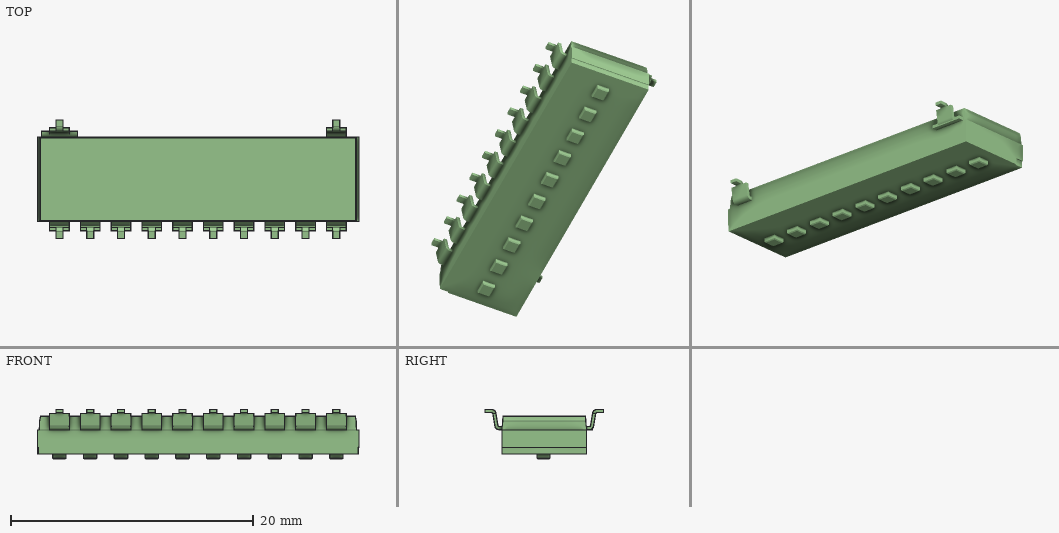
import cadquery as cq
import math

POSITIONS = 10
PITCH = 2.54
TOTAL_HEIGHT = 4.1

BODY_LENGTH = 26.5
BODY_WIDTH = 6.98
ACTUATOR_HEIGHT = 0.4
COVER_HEIGHT = 0.57
FRAME_TOP_DEPTH = 1.68
COVER_Z = ACTUATOR_HEIGHT
FRAME_Z = COVER_Z + COVER_HEIGHT
BASE_Z = TOTAL_HEIGHT - FRAME_TOP_DEPTH
STANDOFF = 0.56
BASE_TOP_Z = TOTAL_HEIGHT - STANDOFF
BASE_BEVEL_HEIGHT = 0.41
BASE_BREAK_Z = BASE_TOP_Z - BASE_BEVEL_HEIGHT

RIDGE_DEPTH = 0.06
NOTCH_DEPTH = 0.1
NOTCH_WIDTH = 0.81

BASE_FOOT_INSET_X = 0.15
BASE_BREAK_INSET_X = 0.17
BASE_TOP_INSET_X = 0.25
BASE_TOP_INSET_Y = 0.08

BASE_FOOT_HALF_LENGTH = BODY_LENGTH / 2 - BASE_FOOT_INSET_X
BASE_BREAK_HALF_LENGTH = BODY_LENGTH / 2 - BASE_BREAK_INSET_X
BASE_TOP_HALF_LENGTH = BODY_LENGTH / 2 - BASE_TOP_INSET_X
BASE_TOP_HALF_WIDTH = BODY_WIDTH / 2 - BASE_TOP_INSET_Y

ACTUATOR_LENGTH = 1.12
ACTUATOR_WIDTH = 1.08
ACTUATOR_Y = -0.06
ACTUATOR_CHAMFER = 0.08

LEAD_SPAN = 9.8
LEAD_THICKNESS = 0.27
LEAD_WIDTH = 1.64
LEAD_TIP_WIDTH = 0.6
LEAD_LEAN = 9.5
LEAD_KNEE_Y = 4.03
LEAD_EMBED = 0.6
LEAD_ROOT_Y = BODY_WIDTH / 2 - LEAD_EMBED
BEND_INNER_RADIUS = 0.08
BEND_OUTER_RADIUS = BEND_INNER_RADIUS + LEAD_THICKNESS
SHOULDER_DEPTH = 0.32
SHOULDER_Z = TOTAL_HEIGHT - SHOULDER_DEPTH

TAB_LENGTH = 3.0
TAB_END_Y = 3.98


def position_x(index):
    """X of a switch position, counted from the -X end."""
    return (index - (POSITIONS - 1) / 2) * PITCH


def box(x_min, x_max, y_min, y_max, z_min, z_max):
    """Axis-aligned block given by its limits."""
    return (
        cq.Workplane("XY")
        .box(x_max - x_min, y_max - y_min, z_max - z_min, centered=False)
        .translate((x_min, y_min, z_min))
    )


def make_case():
    """Cover and frame, with the end ridge and the corner notch."""
    half_length = BODY_LENGTH / 2
    half_width = BODY_WIDTH / 2
    case = box(-half_length, half_length, -half_width, half_width, COVER_Z, BASE_Z)
    ridge = box(half_length, half_length + RIDGE_DEPTH, -half_width, half_width, FRAME_Z, BASE_Z)
    notch = box(
        -half_length, -half_length + NOTCH_DEPTH,
        -half_width, -half_width + NOTCH_WIDTH,
        COVER_Z, FRAME_Z,
    )
    return case.union(ridge).cut(notch)


def make_base():
    """Base with drafted long sides and end faces that break to a larger draft angle."""
    lengthwise_prism = (
        cq.Workplane("XZ", origin=(0, BODY_WIDTH / 2, 0))
        .polyline([
            (-BASE_FOOT_HALF_LENGTH, BASE_Z),
            (-BASE_BREAK_HALF_LENGTH, BASE_BREAK_Z),
            (-BASE_TOP_HALF_LENGTH, BASE_TOP_Z),
            (BASE_TOP_HALF_LENGTH, BASE_TOP_Z),
            (BASE_BREAK_HALF_LENGTH, BASE_BREAK_Z),
            (BASE_FOOT_HALF_LENGTH, BASE_Z),
        ])
        .close()
        .extrude(BODY_WIDTH)
    )
    crosswise_prism = (
        cq.Workplane("YZ", origin=(-BODY_LENGTH / 2, 0, 0))
        .polyline([
            (-BODY_WIDTH / 2, BASE_Z),
            (-BASE_TOP_HALF_WIDTH, BASE_TOP_Z),
            (BASE_TOP_HALF_WIDTH, BASE_TOP_Z),
            (BODY_WIDTH / 2, BASE_Z),
        ])
        .close()
        .extrude(BODY_LENGTH)
    )
    return lengthwise_prism.intersect(crosswise_prism)


def make_actuator():
    """Slide actuator under the cover, centred on X = 0, chamfered round its tip."""
    return (
        cq.Workplane("XY", origin=(0, ACTUATOR_Y, 0))
        .rect(ACTUATOR_LENGTH, ACTUATOR_WIDTH)
        .extrude(COVER_Z)
        .faces("<Z")
        .chamfer(ACTUATOR_CHAMFER)
    )


def make_lead():
    """Gull-wing lead on the +Y side at X = 0, narrowed above its shoulder."""
    lean = math.radians(LEAD_LEAN)
    leg_offset = LEAD_THICKNESS / math.cos(lean)
    root_top_z = BASE_Z + LEAD_THICKNESS
    foot_bottom_z = TOTAL_HEIGHT - LEAD_THICKNESS
    tip_y = LEAD_SPAN / 2

    def outer_y(z):
        return LEAD_KNEE_Y + (z - BASE_Z) * math.tan(lean)

    def inner_y(z):
        return outer_y(z) - leg_offset

    strip = (
        cq.Workplane("YZ", origin=(-LEAD_WIDTH / 2, 0, 0))
        .polyline([
            (LEAD_ROOT_Y, BASE_Z),
            (LEAD_KNEE_Y, BASE_Z),
            (outer_y(foot_bottom_z), foot_bottom_z),
            (tip_y, foot_bottom_z),
            (tip_y, TOTAL_HEIGHT),
            (inner_y(TOTAL_HEIGHT), TOTAL_HEIGHT),
            (inner_y(root_top_z), root_top_z),
            (LEAD_ROOT_Y, root_top_z),
        ])
        .close()
        .extrude(LEAD_WIDTH)
    )

    bends = [
        (LEAD_KNEE_Y, BASE_Z, BEND_OUTER_RADIUS),
        (outer_y(foot_bottom_z), foot_bottom_z, BEND_INNER_RADIUS),
        (inner_y(TOTAL_HEIGHT), TOTAL_HEIGHT, BEND_OUTER_RADIUS),
        (inner_y(root_top_z), root_top_z, BEND_INNER_RADIUS),
    ]
    for y, z, radius in bends:
        corner = cq.selectors.NearestToPointSelector((0, y, z))
        strip = strip.edges("|X").edges(corner).fillet(radius)

    half_tip = LEAD_TIP_WIDTH / 2
    half_lead = LEAD_WIDTH / 2
    for x_min, x_max in ((-half_lead, -half_tip), (half_tip, half_lead)):
        strip = strip.cut(box(x_min, x_max, 0, tip_y, SHOULDER_Z, TOTAL_HEIGHT))
    return strip


def make_tab():
    """Wide flat root plate under the first rear lead."""
    x_center = position_x(0)
    return box(
        x_center - TAB_LENGTH / 2, x_center + TAB_LENGTH / 2,
        LEAD_ROOT_Y, TAB_END_Y,
        BASE_Z, BASE_Z + LEAD_THICKNESS,
    )


result = make_case().union(make_base()).union(make_tab())

rear_lead = make_lead()
front_lead = rear_lead.mirror("XZ")
actuator = make_actuator()

for index in range(POSITIONS):
    offset = (position_x(index), 0, 0)
    result = result.union(front_lead.translate(offset))
    result = result.union(actuator.translate(offset))

for index in (0, POSITIONS - 1):
    result = result.union(rear_lead.translate((position_x(index), 0, 0)))